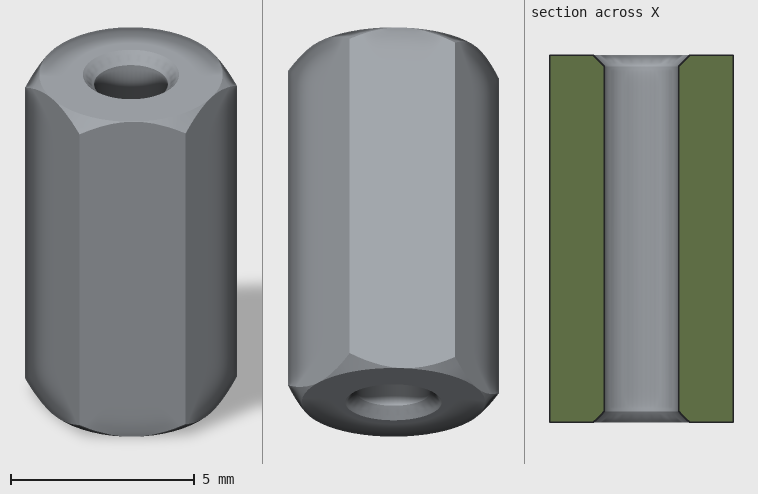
import cadquery as cq
import math

side_count = 6
across_flats = 5.0
length = 10.0
bore_diameter = 2.01
countersink_diameter = 2.62
corner_chamfer_angle = 45.0
countersink_angle = 90.0

across_corners = across_flats / math.cos(math.pi / side_count)
face_radius = across_flats / 2
corner_radius = across_corners / 2
chamfer_height = (corner_radius - face_radius) * math.tan(math.radians(corner_chamfer_angle))


def hexagonal_bar():
    """Hexagon standing on Z, with corners on the X axis and flats facing Y."""
    return cq.Workplane("XY").polygon(side_count, across_corners).extrude(length)


def chamfered_envelope():
    """Round blank whose conical ends touch the flats and trim the hexagon corners."""
    return (
        cq.Workplane("XZ")
        .moveTo(0, 0)
        .lineTo(face_radius, 0)
        .lineTo(corner_radius, chamfer_height)
        .lineTo(corner_radius, length - chamfer_height)
        .lineTo(face_radius, length)
        .lineTo(0, length)
        .close()
        .revolve(360, (0, 0, 0), (0, 1, 0))
    )


def countersunk_bore():
    """Through bore with a conical countersink at both ends, as a cutting body."""
    bore_radius = bore_diameter / 2
    mouth_radius = countersink_diameter / 2
    depth = (mouth_radius - bore_radius) / math.tan(math.radians(countersink_angle / 2))
    return (
        cq.Workplane("XZ")
        .moveTo(0, 0)
        .lineTo(mouth_radius, 0)
        .lineTo(bore_radius, depth)
        .lineTo(bore_radius, length - depth)
        .lineTo(mouth_radius, length)
        .lineTo(0, length)
        .close()
        .revolve(360, (0, 0, 0), (0, 1, 0))
    )


result = hexagonal_bar().intersect(chamfered_envelope()).cut(countersunk_bore())